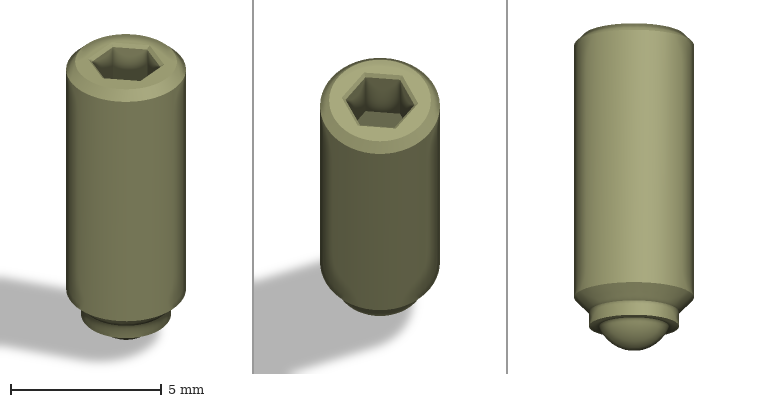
import cadquery as cq
import math

length = 10.8
body_diameter = 4.0
collar_diameter = 3.0
body_radius = body_diameter / 2
collar_radius = collar_diameter / 2

ball_radius = 1.25
ball_protrusion = 0.8
collar_height = 0.5
top_chamfer = 0.3

socket_flats = 2.0
socket_depth = 2.0
socket_chamfer = 0.11

collar_bottom = ball_protrusion
collar_top = collar_bottom + collar_height
body_bottom = collar_top + (body_radius - collar_radius)


def make_body():
    """Turned body with a chamfered top, a lower cone and a collar."""
    return (
        cq.Workplane("XZ")
        .moveTo(0, collar_bottom)
        .lineTo(collar_radius, collar_bottom)
        .lineTo(collar_radius, collar_top)
        .lineTo(body_radius, body_bottom)
        .lineTo(body_radius, length - top_chamfer)
        .lineTo(body_radius - top_chamfer, length)
        .lineTo(0, length)
        .close()
        .revolve(360, (0, 0, 0), (0, 1, 0))
    )


def make_ball():
    """Ball that rests on the origin and sticks out below the collar."""
    return cq.Workplane("XY").sphere(ball_radius).translate((0, 0, ball_radius))


def corner_diameter(across_flats):
    return across_flats / math.cos(math.pi / 6)


def make_socket():
    """Hexagonal socket with corners on X and a chamfered mouth."""
    hexagon = (
        cq.Workplane("XY")
        .workplane(offset=length - socket_depth)
        .polygon(6, corner_diameter(socket_flats))
        .extrude(socket_depth)
    )
    mouth = (
        cq.Workplane("XY")
        .workplane(offset=length)
        .polygon(6, corner_diameter(socket_flats + 2 * socket_chamfer))
        .extrude(-socket_chamfer, taper=45)
    )
    return hexagon.union(mouth)


result = make_body().union(make_ball()).cut(make_socket())